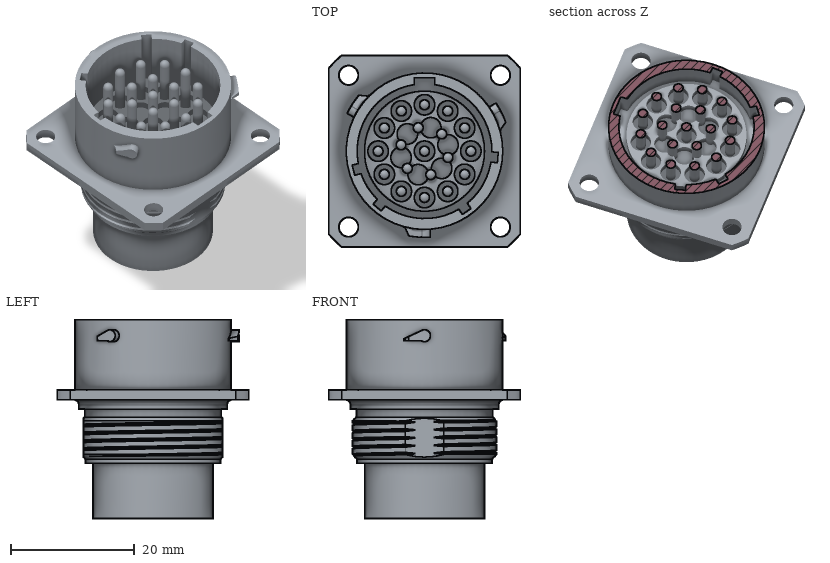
import cadquery as cq
import math

shell_height = 11.35
flange_thickness = 1.63
collar_bottom = -3.14
neck_bottom = -4.4
thread_bottom = -11.2
shoulder_bottom = -11.9
barrel_bottom = shell_height - 32.2

shell_radius = 12.65
socket_radius = 10.9
flange_width = 31.0
flange_corner_radius = 20.5
mount_hole_pitch = 24.55
mount_hole_diameter = 3.1

collar_radius = 12.02
collar_fillet = 0.75
neck_radius = 11.05
thread_radius = 11.68
shoulder_radius = 10.94
barrel_radius = 9.71
thread_flat_offset = 11.26

thread_pitch = 1.27
thread_root_radius = 11.37
groove_root_width = 0.1
groove_crest_width = 0.45
groove_turns = 6
groove_start_height = -11.23

keyway_radius = 11.9
master_key_width = 3.36
minor_key_width = 1.68
minor_key_angles = (195, 230, 305, 355)

insert_radius = barrel_radius
insert_height = shell_height - 8.6
insert_projection = 1.17
socket_floor = insert_height - insert_projection
cavity_radius = 1.66
pin_radius = 0.8
pin_root_depth = 1.0
pin_tip_height = shell_height - 1.55
outer_ring_radius = 7.5
outer_ring_count = 12
inner_ring_radius = 3.93
inner_ring_count = 6
inner_cavity_angle = 15
inner_pin_angle = 45

lug_face_radius = 13.93
lug_inner_offset = shell_radius - 1.0
lug_height = shell_height - 2.6
lug_head_radius = 0.96
lug_tail_length = 3.33
lug_tail_top = -0.5
lug_tail_bottom = -0.8
lug_bevel_start = 2.43
lug_bevel_end = 3.15
lug_bevel_depth = 1.6
lug_angles = (30, 150, 270)


def polar(radius, degrees):
    """Point at a radius and angle about the Z axis."""
    angle = math.radians(degrees)
    return radius * math.cos(angle), radius * math.sin(angle)


def ring(radius, count, first_angle):
    """Evenly spaced points on a circle."""
    return [polar(radius, first_angle + i * 360 / count) for i in range(count)]


def cylinder(radius, bottom, top):
    return cq.Workplane("XY").workplane(offset=bottom).circle(radius).extrude(top - bottom)


def make_flange():
    """Square flange whose corners are turned off to a common circle."""
    plate = cq.Workplane("XY").rect(flange_width, flange_width).extrude(-flange_thickness)
    plate = plate.intersect(cylinder(flange_corner_radius, -flange_thickness, 0))
    return (
        plate.faces(">Z")
        .workplane(origin=(0, 0, 0))
        .rect(mount_hole_pitch, mount_hole_pitch, forConstruction=True)
        .vertices()
        .hole(mount_hole_diameter)
    )


def make_turned_body():
    """Revolved body: collar, neck, chamfered thread blank, shoulder and barrel."""
    upper_chamfer = thread_radius - neck_radius
    lower_chamfer = thread_radius - shoulder_radius
    fillet_sag = collar_fillet * (1 - math.sqrt(0.5))
    profile = (
        cq.Workplane("XZ")
        .moveTo(0, -flange_thickness)
        .lineTo(collar_radius + collar_fillet, -flange_thickness)
        .threePointArc(
            (collar_radius + fillet_sag, -flange_thickness - fillet_sag),
            (collar_radius, -flange_thickness - collar_fillet),
        )
        .lineTo(collar_radius, collar_bottom)
        .lineTo(neck_radius, collar_bottom)
        .lineTo(neck_radius, neck_bottom)
        .lineTo(thread_radius, neck_bottom - upper_chamfer)
        .lineTo(thread_radius, thread_bottom + lower_chamfer)
        .lineTo(shoulder_radius, thread_bottom)
        .lineTo(shoulder_radius, shoulder_bottom)
        .lineTo(barrel_radius, shoulder_bottom)
        .lineTo(barrel_radius, barrel_bottom)
        .lineTo(0, barrel_bottom)
        .close()
    )
    return profile.revolve(360, (0, 0, 0), (0, 1, 0))


def make_groove_turn():
    """One right-handed turn of the thread groove, starting on +X at Z = 0."""
    clearance = 0.2
    flank_slope = (groove_crest_width - groove_root_width) / 2 / (thread_radius - thread_root_radius)
    outer_radius = thread_radius + clearance
    root_half = groove_root_width / 2
    outer_half = groove_crest_width / 2 + flank_slope * clearance
    helix = cq.Wire.makeHelix(thread_pitch, thread_pitch, thread_root_radius)
    return (
        cq.Workplane("XZ")
        .polyline([
            (thread_root_radius, root_half),
            (outer_radius, outer_half),
            (outer_radius, -outer_half),
            (thread_root_radius, -root_half),
        ])
        .close()
        .sweep(cq.Workplane(helix), isFrenet=True)
    )


def cut_thread(blank):
    """Cut the groove turn by turn, so that it runs out through both chamfers."""
    turn = make_groove_turn()
    threaded = blank
    for i in range(groove_turns):
        threaded = threaded.cut(turn.translate((0, 0, groove_start_height + i * thread_pitch)))
    return threaded


def make_flat_cutter(side):
    """Block that removes the thread outside one of the two Y flats."""
    depth = 2 * (thread_radius - thread_flat_offset)
    height = neck_bottom - thread_bottom
    return cq.Workplane("XY").box(flange_width, depth, height).translate(
        (0, side * (thread_flat_offset + depth / 2), (neck_bottom + thread_bottom) / 2)
    )


def make_keyway(angle, width):
    """Keyway slot from the socket floor to the shell rim."""
    block = (
        cq.Workplane("XY")
        .workplane(offset=socket_floor)
        .center(keyway_radius / 2, 0)
        .rect(keyway_radius, width)
        .extrude(shell_height - socket_floor)
    )
    return block.rotate((0, 0, 0), (0, 0, 1), angle)


def make_socket():
    """Hollow of the shell around and above the insert, with its keyways."""
    socket = cylinder(socket_radius, socket_floor, shell_height)
    socket = socket.union(make_keyway(90, master_key_width))
    for angle in minor_key_angles:
        socket = socket.union(make_keyway(angle, minor_key_width))
    return socket.cut(cylinder(insert_radius, socket_floor, insert_height))


def make_cavities(points):
    """Round recesses in the insert face, as deep as the insert stands proud."""
    floor = cq.Workplane("XY").workplane(offset=socket_floor)
    return floor.pushPoints(points).circle(cavity_radius).extrude(insert_projection)


def make_pin(point):
    """Contact pin with a hemispherical tip, rooted below the cavity floor."""
    shaft_top = pin_tip_height - pin_radius
    tip = cq.Workplane("XY").sphere(pin_radius).translate((0, 0, shaft_top))
    pin = cylinder(pin_radius, socket_floor - pin_root_depth, shaft_top).union(tip)
    return pin.translate((point[0], point[1], 0))


def make_lug(angle):
    """Teardrop bayonet lug with a cylindrical outer face and a bevelled tail."""
    tail_tip = (-lug_tail_length, lug_tail_top)
    tip_distance = math.hypot(*tail_tip)
    tip_angle = math.atan2(tail_tip[1], tail_tip[0])
    tangent_angle = tip_angle - math.acos(lug_head_radius / tip_distance)
    tangent = (lug_head_radius * math.cos(tangent_angle), lug_head_radius * math.sin(tangent_angle))
    under_head_x = -math.sqrt(lug_head_radius ** 2 - lug_tail_bottom ** 2)
    teardrop = (
        cq.Workplane("XZ", origin=(0, -lug_inner_offset, lug_height))
        .moveTo(*tail_tip)
        .lineTo(*tangent)
        .threePointArc((lug_head_radius, 0), (under_head_x, lug_tail_bottom))
        .lineTo(-lug_tail_length, lug_tail_bottom)
        .close()
        .extrude(lug_face_radius - lug_inner_offset)
    )
    bevel = (
        cq.Workplane("XY")
        .workplane(offset=lug_height - 2 * lug_head_radius)
        .polyline([
            (-lug_bevel_start, -lug_face_radius),
            (-lug_bevel_end, lug_bevel_depth - lug_face_radius),
            (-lug_bevel_end - lug_tail_length, lug_bevel_depth - lug_face_radius),
            (-lug_bevel_end - lug_tail_length, -lug_face_radius),
        ])
        .close()
        .extrude(4 * lug_head_radius)
    )
    outer_cylinder = cylinder(lug_face_radius, 0, shell_height)
    return teardrop.intersect(outer_cylinder).cut(bevel).rotate((0, 0, 0), (0, 0, 1), angle - 270)


def make_part():
    threaded = cut_thread(make_turned_body())
    for side in (-1, 1):
        threaded = threaded.cut(make_flat_cutter(side))

    part = make_flange().union(threaded).union(cylinder(shell_radius, 0, shell_height))
    for angle in lug_angles:
        part = part.union(make_lug(angle))
    part = part.cut(make_socket())

    shared_points = ring(outer_ring_radius, outer_ring_count, 0) + [(0, 0)]
    inner_cavities = ring(inner_ring_radius, inner_ring_count, inner_cavity_angle)
    inner_pins = ring(inner_ring_radius, inner_ring_count, inner_pin_angle)
    part = part.cut(make_cavities(shared_points + inner_cavities))
    for point in shared_points + inner_pins:
        part = part.union(make_pin(point))
    return part


result = make_part()